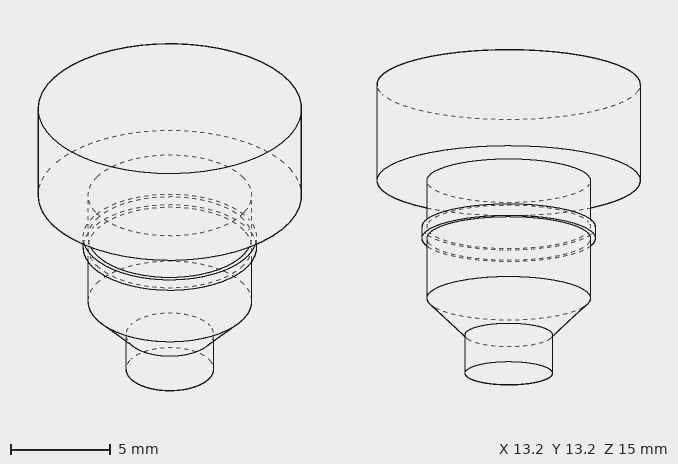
import cadquery as cq

total_height = 15.0
head_diameter = 13.2
shank_diameter = 8.2
collar_diameter = 8.7
tip_diameter = 4.4

head_height = 5.0
collar_height = 0.6
lower_shank_height = 3.1
tip_height = 2.0
taper_height = (shank_diameter - tip_diameter) / 2

shank_bottom = tip_height + taper_height
collar_bottom = shank_bottom + lower_shank_height
head_bottom = total_height - head_height


def disc(diameter, bottom, height):
    """Upright cylinder centred on the Z axis."""
    return cq.Workplane("XY").workplane(offset=bottom).circle(diameter / 2).extrude(height)


head = disc(head_diameter, head_bottom, head_height)
shank = disc(shank_diameter, shank_bottom, head_bottom - shank_bottom)
collar = disc(collar_diameter, collar_bottom, collar_height)
tip = disc(tip_diameter, 0, tip_height)

taper = cq.Workplane(
    cq.Solid.makeCone(
        tip_diameter / 2,
        shank_diameter / 2,
        taper_height,
        pnt=cq.Vector(0, 0, tip_height),
    )
)

result = head.union(shank).union(collar).union(taper).union(tip)